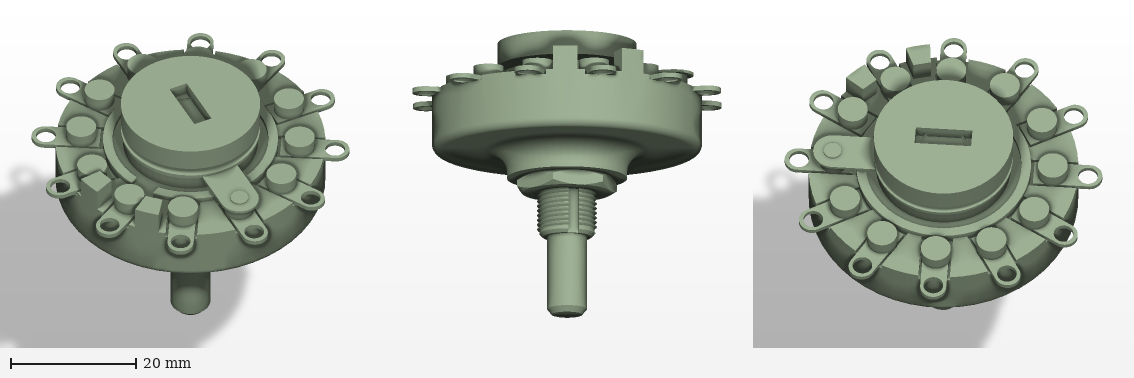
import cadquery as cq
import math


terminal_count = 12
terminal_pitch = 360 / terminal_count
common_angle = -90
overall_radius = 25.4
terminal_width = 4.15
terminal_thickness = 0.75
terminal_inner_radius = 14.45
eyelet_hole_radius = 1.6
eyelet_hole_offset = 23.15
terminal_slot_width = 5.05
stud_radius = 2.4
stud_height = 3.05
stud_offset = 17.5

shaft_radius = 3.2
shaft_tip_chamfer_width = 0.75
shaft_tip_chamfer_height = 0.9
flat_distance = 2.35
flat_length = 8.8

bushing_bottom = 12.65
thread_radius = 4.8
thread_root_radius = 4.4
thread_pitch = 0.75
thread_ridge_half_height = 0.35
thread_overlap = 0.1
bushing_chamfer = 0.5
keyway_width = 1.7
keyway_floor_distance = 3.65

nut_height = 2.4
nut_across_corners = 16.5
nut_chamfer_angle = 32

housing_radius = 21.55
housing_edge_radius = 1.2
shoulder_radius = 9.6
shoulder_height = 1.05
neck_fillet_radius = 3.2
shoulder_bottom = 22.2
nut_bottom = shoulder_bottom - nut_height
housing_bottom = shoulder_bottom + shoulder_height + neck_fillet_radius
housing_top = 35.65
slot_floor = housing_top - terminal_thickness

collar_outer_radius = 14.0
collar_inner_radius = 12.45
collar_height = 0.8

stop_inner_distance = 17.95
stop_inner_width = 2.85
stop_side_angle = 9
stop_top = 39.45

drum_radius = 10.8
arm_bottom = slot_floor + stud_height
plate_thickness = 0.45
arm_plate_radius = 10.95
knob_radius = 11.15
arm_width = 6.2
arm_tip_offset = 17.75
rivet_radius = 1.5
rivet_height = 0.35
rivet_chamfer = 0.1
rotor_angle = -terminal_pitch
disc_bottom = arm_bottom + plate_thickness
disc_top = disc_bottom + plate_thickness
rotor_neck_radius = 6.4
knob_bottom = 40.25
knob_height = 3.8
knob_top = knob_bottom + knob_height

driver_slot_length = 9.05
driver_slot_width = 3.05
driver_slot_depth = 2.25
groove_inner_radius = 3.15
groove_outer_radius = 3.7
groove_top_depth = 1.5
groove_bottom_depth = 2.4


def cylinder(radius, bottom, top):
    """Cylinder on the Z axis between two heights."""
    return cq.Workplane("XY").workplane(offset=bottom).circle(radius).extrude(top - bottom)


def ring(outer_radius, inner_radius, bottom, top):
    """Flat ring on the Z axis between two heights."""
    outline = cq.Workplane("XY").workplane(offset=bottom).circle(outer_radius).circle(inner_radius)
    return outline.extrude(top - bottom)


def bar(start, end, width, bottom, top):
    """Rectangular bar along +X, centred on the X axis."""
    length = end - start
    plane = cq.Workplane("XY").workplane(offset=bottom)
    return plane.center(start + length / 2, 0).rect(length, width).extrude(top - bottom)


def about_axis(body, angle):
    """Turn a body about the Z axis."""
    return body.rotate((0, 0, 0), (0, 0, 1), angle)


def make_shaft():
    shaft = (
        cylinder(shaft_radius, 0, nut_bottom)
        .faces("<Z")
        .chamfer(shaft_tip_chamfer_height, shaft_tip_chamfer_width)
    )
    flat_cut = bar(flat_distance, 2 * shaft_radius, 2 * shaft_radius, 0, flat_length)
    return shaft.cut(about_axis(flat_cut, rotor_angle + 150))


def make_bushing():
    """Core with a chamfered end and a helical thread ridge that runs out inside the nut."""
    core = cylinder(thread_root_radius, bushing_bottom, shoulder_bottom).faces("<Z").chamfer(bushing_chamfer)
    helix_bottom = bushing_bottom + bushing_chamfer + thread_ridge_half_height
    helix_top = nut_bottom + thread_pitch
    ridge_inner_radius = thread_root_radius - thread_overlap
    helix = cq.Wire.makeHelix(thread_pitch, helix_top - helix_bottom, ridge_inner_radius)
    ridge = (
        cq.Workplane("XZ")
        .moveTo(ridge_inner_radius, -thread_ridge_half_height)
        .lineTo(thread_radius, 0)
        .lineTo(ridge_inner_radius, thread_ridge_half_height)
        .close()
        .sweep(cq.Workplane(obj=helix), isFrenet=True)
        .translate((0, 0, helix_bottom))
    )
    keyway = bar(keyway_floor_distance, 2 * thread_radius, keyway_width, bushing_bottom, nut_bottom)
    return core.union(ridge).cut(about_axis(keyway, -90))


def make_nut():
    corner_radius = nut_across_corners / 2
    face_radius = corner_radius * math.cos(math.radians(30))
    chamfer_drop = (corner_radius - face_radius) * math.tan(math.radians(nut_chamfer_angle))
    hexagon = cq.Workplane("XY").workplane(offset=nut_bottom).polygon(6, nut_across_corners).extrude(nut_height)
    envelope = (
        cylinder(corner_radius, nut_bottom, shoulder_bottom)
        .faces("<Z or >Z")
        .chamfer(chamfer_drop, corner_radius - face_radius)
    )
    return hexagon.intersect(envelope)


def stop_wedge(angle):
    """Footprint of one stop block, running outward past the housing rim."""
    half_width = stop_inner_width / 2
    length = overall_radius - stop_inner_distance
    outer_half_width = half_width + length * math.tan(math.radians(stop_side_angle))
    wedge = (
        cq.Workplane("XY")
        .workplane(offset=housing_top)
        .moveTo(stop_inner_distance, -half_width)
        .lineTo(overall_radius, -outer_half_width)
        .lineTo(overall_radius, outer_half_width)
        .lineTo(stop_inner_distance, half_width)
        .close()
        .extrude(stop_top - housing_top)
    )
    return about_axis(wedge, angle)


def make_housing():
    fillet_top_radius = shoulder_radius + neck_fillet_radius
    fillet_start = shoulder_bottom + shoulder_height
    diagonal = neck_fillet_radius * math.sqrt(0.5)
    housing = (
        cq.Workplane("XZ")
        .moveTo(0, shoulder_bottom)
        .lineTo(shoulder_radius, shoulder_bottom)
        .lineTo(shoulder_radius, fillet_start)
        .threePointArc(
            (fillet_top_radius - diagonal, fillet_start + diagonal),
            (fillet_top_radius, housing_bottom),
        )
        .lineTo(housing_radius, housing_bottom)
        .lineTo(housing_radius, stop_top)
        .lineTo(0, stop_top)
        .close()
        .revolve(360, (0, 0, 0), (0, 1, 0))
    )
    rim = cq.selectors.BoxSelector(
        (-overall_radius, -overall_radius, housing_bottom - 0.5),
        (overall_radius, overall_radius, housing_bottom + 0.5),
        boundingbox=True,
    )
    outer_edge = housing.edges(rim).edges(cq.selectors.RadiusNthSelector(-1))
    housing = outer_edge.fillet(housing_edge_radius)

    top_cut = cylinder(overall_radius, housing_top, stop_top)
    for side in (-1, 1):
        top_cut = top_cut.cut(stop_wedge(common_angle + side * terminal_pitch / 2))
    housing = housing.cut(top_cut)

    collar = ring(collar_outer_radius, collar_inner_radius, housing_top, housing_top + collar_height)
    housing = housing.union(collar)

    slot = bar(collar_outer_radius - 0.5, overall_radius, terminal_slot_width, slot_floor, housing_top)
    slot = slot.cut(cylinder(collar_outer_radius, slot_floor, housing_top))
    for index in range(terminal_count):
        housing = housing.cut(about_axis(slot, index * terminal_pitch))
    collar_notch = bar(0, overall_radius, terminal_width, housing_top, housing_top + collar_height)
    return housing.cut(about_axis(collar_notch, common_angle))


def make_terminal(inner_radius):
    """Soldering lug along +X with its eyelet and contact stud."""
    eyelet_radius = terminal_width / 2
    eyelet_offset = overall_radius - eyelet_radius
    lug = bar(inner_radius, eyelet_offset, terminal_width, slot_floor, housing_top)
    lug = lug.union(cylinder(eyelet_radius, slot_floor, housing_top).translate((eyelet_offset, 0, 0)))
    hole = cylinder(eyelet_hole_radius, slot_floor, housing_top).translate((eyelet_hole_offset, 0, 0))
    stud = cylinder(stud_radius, slot_floor, arm_bottom).translate((stud_offset, 0, 0))
    return lug.cut(hole).union(stud)


def make_rotor():
    drum = cylinder(drum_radius, housing_top, arm_bottom)
    arm_plate = cylinder(arm_plate_radius, arm_bottom, disc_bottom)
    arm = bar(0, arm_tip_offset, arm_width, arm_bottom, disc_bottom)
    arm_tip = cylinder(arm_width / 2, arm_bottom, disc_bottom).translate((arm_tip_offset, 0, 0))
    rivet = cylinder(rivet_radius, disc_bottom, disc_bottom + rivet_height).faces(">Z").chamfer(rivet_chamfer)
    arm = arm.union(arm_tip).union(rivet.translate((arm_tip_offset, 0, 0)))
    disc = cylinder(knob_radius, disc_bottom, disc_top)
    neck = cylinder(rotor_neck_radius, disc_top, knob_bottom)
    knob = cylinder(knob_radius, knob_bottom, knob_top)
    driver_slot = bar(
        -driver_slot_length / 2,
        driver_slot_length / 2,
        driver_slot_width,
        knob_top - driver_slot_depth,
        knob_top,
    )
    groove = ring(
        groove_outer_radius,
        groove_inner_radius,
        knob_top - groove_bottom_depth,
        knob_top - groove_top_depth,
    )
    rotor = drum.union(arm_plate).union(arm).union(disc).union(neck).union(knob)
    return about_axis(rotor.cut(driver_slot).cut(groove), rotor_angle)


result = make_housing()

for index in range(terminal_count):
    angle = common_angle + index * terminal_pitch
    inner_radius = collar_inner_radius if index == 0 else terminal_inner_radius
    result = result.union(about_axis(make_terminal(inner_radius), angle))

result = result.union(make_rotor())

lower_parts = make_nut().union(make_bushing()).union(make_shaft())
result = result.union(lower_parts)